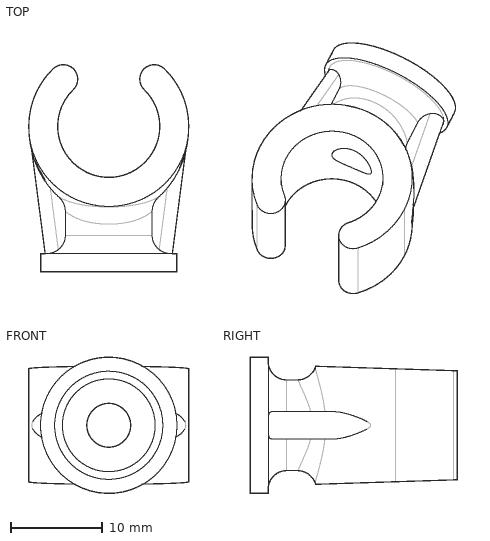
import cadquery as cq
import math

BORE_RADIUS = 5.6
RING_RADIUS = 8.8
MOUTH_GAP = 6.8
TIP_RADIUS = (RING_RADIUS - BORE_RADIUS) / 2
TIP_PITCH_RADIUS = (RING_RADIUS + BORE_RADIUS) / 2
TIP_X = MOUTH_GAP / 2 + TIP_RADIUS
TIP_Y = math.sqrt(TIP_PITCH_RADIUS**2 - TIP_X**2)

MOUTH_HALF_HEIGHT = 6.0
FRONT_HALF_HEIGHT = 6.5
FRONT_BULGE_DEPTH = 10.0

FLANGE_FACE_Y = -16.0
FLANGE_RADIUS = 7.5
FLANGE_THICKNESS = 2.0
FLANGE_BACK_Y = FLANGE_FACE_Y + FLANGE_THICKNESS

NECK_RADIUS = 5.0
NECK_FLANGE_FILLET = 2.0
NECK_RING_FILLET = 2.0

HOLE_RADIUS = 2.4
RECESS_MOUTH_RADIUS = 5.95
RECESS_FLOOR_RADIUS = 5.1
RECESS_DEPTH = 1.5

RIB_RADIUS = 1.5
RIB_FLANGE_X = 7.0
RIB_ANGLE = math.radians(7.4)
RIB_EMBED = 0.5
RIB_END_Y = -1.0


def make_arms():
    """Sector with fully rounded arm tips at the full front height, with the bore still filled."""
    outer_x, outer_y = tip_point(RING_RADIUS)
    inner_x, inner_y = tip_point(BORE_RADIUS)
    nose_x = TIP_X - TIP_RADIUS * TIP_Y / TIP_PITCH_RADIUS
    nose_y = TIP_Y + TIP_RADIUS * TIP_X / TIP_PITCH_RADIUS
    return (
        cq.Workplane("XY")
        .moveTo(outer_x, outer_y)
        .threePointArc((0, -RING_RADIUS), (-outer_x, outer_y))
        .threePointArc((-nose_x, nose_y), (-inner_x, inner_y))
        .lineTo(0, 0)
        .lineTo(inner_x, inner_y)
        .threePointArc((nose_x, nose_y), (outer_x, outer_y))
        .close()
        .extrude(FRONT_HALF_HEIGHT, both=True)
    )


def tip_point(radius):
    """Point at the given radius on the ray from the bore axis through the +X arm tip centre."""
    scale = radius / TIP_PITCH_RADIUS
    return TIP_X * scale, TIP_Y * scale


def make_bore():
    """Bore cutter, tall enough to pass well clear of both ring ends."""
    return cq.Workplane("XY").circle(BORE_RADIUS).extrude(FLANGE_RADIUS, both=True)


def half_ellipse(z, depth):
    """Front half of an ellipse as wide as the ring, as a closed wire at height z."""
    arc = cq.Edge.makeEllipse(
        depth, RING_RADIUS, cq.Vector(0, 0, z), cq.Vector(0, 0, 1), cq.Vector(0, -1, 0), -90, 90
    )
    return cq.Wire.assembleEdges([arc, cq.Edge.makeLine(arc.endPoint(), arc.startPoint())])


def make_front_bulge():
    """Front of the ring: round at top and bottom, deeper at mid height."""
    sections = [
        half_ellipse(-FRONT_HALF_HEIGHT, RING_RADIUS),
        half_ellipse(0, FRONT_BULGE_DEPTH),
        half_ellipse(FRONT_HALF_HEIGHT, RING_RADIUS),
    ]
    return cq.Workplane("XY").newObject([cq.Solid.makeLoft(sections)])


def make_taper_envelope():
    """Wedge that limits the ring height from front to mouth."""
    mouth_y = TIP_Y + TIP_RADIUS
    return (
        cq.Workplane("YZ")
        .polyline([
            (-FRONT_BULGE_DEPTH, -FRONT_HALF_HEIGHT),
            (-RING_RADIUS, -FRONT_HALF_HEIGHT),
            (mouth_y, -MOUTH_HALF_HEIGHT),
            (mouth_y, MOUTH_HALF_HEIGHT),
            (-RING_RADIUS, FRONT_HALF_HEIGHT),
            (-FRONT_BULGE_DEPTH, FRONT_HALF_HEIGHT),
        ])
        .close()
        .extrude(RING_RADIUS, both=True)
    )


def make_ring():
    return make_arms().union(make_front_bulge()).intersect(make_taper_envelope())


def add_neck(ring):
    """Join a round neck to the ring and fillet the seam between them."""
    neck = cq.Workplane("XZ").circle(NECK_RADIUS).extrude(-FLANGE_BACK_Y)
    seam_zone = cq.selectors.BoxSelector(
        (-RING_RADIUS, -FRONT_BULGE_DEPTH, -FRONT_HALF_HEIGHT),
        (RING_RADIUS, -BORE_RADIUS, FRONT_HALF_HEIGHT),
        boundingbox=True,
    )
    return ring.union(neck).edges(seam_zone).fillet(NECK_RING_FILLET)


def make_flange():
    """Flange disc with a concave fillet running onto the neck."""
    fillet_end_y = FLANGE_BACK_Y + NECK_FLANGE_FILLET
    fillet_rim = NECK_RADIUS + NECK_FLANGE_FILLET
    bend = NECK_FLANGE_FILLET * (1 - math.sqrt(0.5))
    return (
        cq.Workplane("XY")
        .moveTo(0, FLANGE_FACE_Y)
        .lineTo(FLANGE_RADIUS, FLANGE_FACE_Y)
        .lineTo(FLANGE_RADIUS, FLANGE_BACK_Y)
        .lineTo(fillet_rim, FLANGE_BACK_Y)
        .threePointArc((NECK_RADIUS + bend, FLANGE_BACK_Y + bend), (NECK_RADIUS, fillet_end_y))
        .lineTo(0, fillet_end_y)
        .close()
        .revolve(360, (0, 0, 0), (0, 1, 0))
    )


def make_ribs():
    slope = math.tan(RIB_ANGLE)
    start_y = FLANGE_BACK_Y - RIB_EMBED
    start_x = RIB_FLANGE_X - RIB_RADIUS / math.cos(RIB_ANGLE) - RIB_EMBED * slope
    end_x = start_x + (RIB_END_Y - start_y) * slope
    length = (RIB_END_Y - start_y) / math.cos(RIB_ANGLE)
    ribs = (
        cq.Workplane("XY")
        .polyline([(-start_x, start_y), (start_x, start_y), (end_x, RIB_END_Y), (-end_x, RIB_END_Y)])
        .close()
        .extrude(RIB_RADIUS, both=True)
    )
    for side in (-1, 1):
        start = cq.Vector(side * start_x, start_y, 0)
        direction = cq.Vector(side * math.sin(RIB_ANGLE), math.cos(RIB_ANGLE), 0)
        round_edge = cq.Solid.makeCylinder(RIB_RADIUS, length, start, direction)
        ribs = ribs.union(cq.Workplane("XY").newObject([round_edge]))
    return ribs


def make_recess():
    return (
        cq.Workplane("XZ", origin=(0, FLANGE_FACE_Y, 0))
        .circle(RECESS_MOUTH_RADIUS)
        .workplane(offset=-RECESS_DEPTH)
        .circle(RECESS_FLOOR_RADIUS)
        .loft()
    )


def make_hole():
    return cq.Workplane("XZ").circle(HOLE_RADIUS).extrude(-FLANGE_FACE_Y)


body = add_neck(make_ring())
body = body.union(make_flange()).union(make_ribs())
result = body.cut(make_bore()).cut(make_recess()).cut(make_hole())